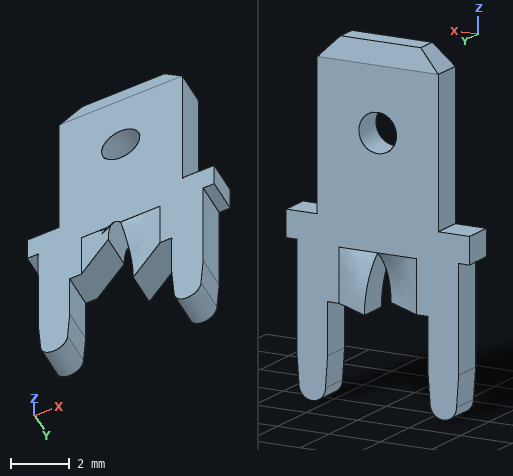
import cadquery as cq
import math

height = 12.95
thickness = 1.2
half_thickness = thickness / 2
blade_width = 4.71
shoulder_width = 7.14
shoulder_top = 6.62
shoulder_bottom = 5.61

tip_height = 0.79
tip_side_inset = 0.79
tip_face_inset = 0.2

hole_diameter = 1.45
hole_z = 9.78

leg_outer_x = 3.15
leg_width = 1.2
leg_center_x = leg_outer_x - leg_width / 2
crotch_z = 3.57
taper_start_z = 1.67
leg_tip_radius = 0.52

tongue_half_width = 1.5
tongue_top = 5.55
tongue_depth = 3.05
bulge = tongue_depth / 2 - half_thickness


def box_between(x0, x1, z0, z1):
    """Full-thickness plate between two X and two Z positions."""
    size_x = x1 - x0
    size_z = z1 - z0
    center = ((x0 + x1) / 2, 0, (z0 + z1) / 2)
    return cq.Workplane("XY").box(size_x, thickness, size_z).translate(center)


def make_blade():
    """Straight blade, bevelled tip and shoulders."""
    tip_base_z = height - tip_height
    blade = box_between(-blade_width / 2, blade_width / 2, crotch_z, tip_base_z)
    shoulders = box_between(-shoulder_width / 2, shoulder_width / 2, shoulder_bottom, shoulder_top)
    tip = (
        cq.Workplane("XY", origin=(0, 0, tip_base_z))
        .rect(blade_width, thickness)
        .workplane(offset=tip_height)
        .rect(blade_width - 2 * tip_side_inset, thickness - 2 * tip_face_inset)
        .loft(ruled=True)
    )
    return blade.union(tip).union(shoulders)


def make_leg(center_x):
    """Leg that tapers to a round end."""
    half_width = leg_width / 2
    return (
        cq.Workplane("XZ", origin=(center_x, 0, 0))
        .moveTo(-half_width, shoulder_bottom)
        .lineTo(-half_width, taper_start_z)
        .lineTo(-leg_tip_radius, leg_tip_radius)
        .threePointArc((0, 0), (leg_tip_radius, leg_tip_radius))
        .lineTo(half_width, taper_start_z)
        .lineTo(half_width, shoulder_bottom)
        .close()
        .extrude(half_thickness, both=True)
    )


def make_tongue_half():
    """Left half: flat at its outer side, curved out to -Y at the middle of the part."""
    tongue_height = tongue_top - crotch_z
    curve_radius = (tongue_height**2 + bulge**2) / (2 * bulge)
    half_angle = math.asin(tongue_height / curve_radius) / 2
    mid_shift = bulge - curve_radius * (1 - math.cos(half_angle))
    mid_z = crotch_z + curve_radius * math.sin(half_angle)
    flat_side = (
        cq.Workplane("YZ", origin=(-tongue_half_width, 0, 0))
        .moveTo(-half_thickness, tongue_top)
        .lineTo(-half_thickness, crotch_z)
        .lineTo(half_thickness, crotch_z)
        .lineTo(half_thickness, tongue_top)
        .close()
        .val()
    )
    curved_side = (
        cq.Workplane("YZ")
        .moveTo(-half_thickness, tongue_top)
        .threePointArc((-half_thickness - mid_shift, mid_z), (-half_thickness - bulge, crotch_z))
        .lineTo(half_thickness - bulge, crotch_z)
        .threePointArc((half_thickness - mid_shift, mid_z), (half_thickness, tongue_top))
        .close()
        .val()
    )
    return cq.Workplane(cq.Solid.makeLoft([flat_side, curved_side], True))


plate = make_blade()
for side in (-1, 1):
    plate = plate.union(make_leg(side * leg_center_x))
    web_edges = sorted((side * tongue_half_width, side * leg_center_x))
    plate = plate.union(box_between(*web_edges, crotch_z, shoulder_bottom))

hole = (
    cq.Workplane("XZ", origin=(0, 0, hole_z))
    .circle(hole_diameter / 2)
    .extrude(half_thickness, both=True)
)
tongue_window = box_between(-tongue_half_width, tongue_half_width, crotch_z, tongue_top)
plate = plate.cut(hole).cut(tongue_window)

left_tongue = make_tongue_half()
right_tongue = left_tongue.rotate((0, 0, 0), (0, 0, 1), 180)
result = plate.union(left_tongue).union(right_tongue)